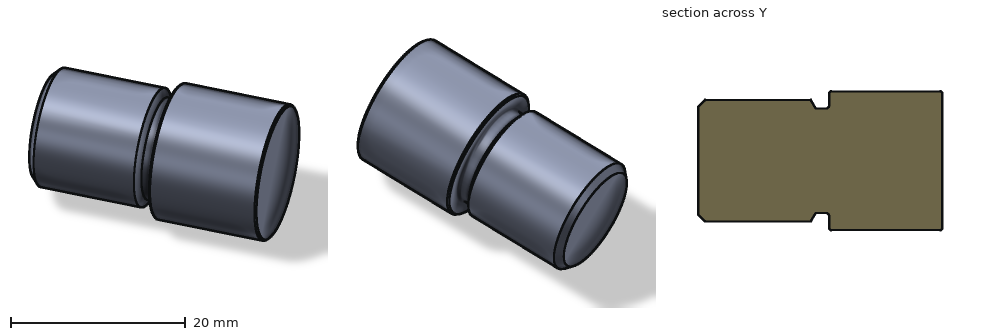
import cadquery as cq
import math

total_length = 28
head_radius = 16.0 / 2
shank_radius = 14 / 2
groove_radius = 12.0 / 2

shoulder_x = 15.0
groove_width = 1.5
groove_wall_angle = 30
root_fillet = 0.4
tip_chamfer = 0.8
head_chamfer = 0.2

groove_floor_x = shoulder_x - groove_width
groove_wall_run = (shank_radius - groove_radius) * math.tan(math.radians(groove_wall_angle))

fillet_offset = root_fillet * (1 - math.sin(math.radians(45)))
fillet_middle = (shoulder_x - fillet_offset, groove_radius + fillet_offset)
fillet_end = (shoulder_x, groove_radius + root_fillet)

profile = (
    cq.Workplane("XY")
    .moveTo(0, 0)
    .lineTo(0, shank_radius - tip_chamfer)
    .lineTo(tip_chamfer, shank_radius)
    .lineTo(groove_floor_x - groove_wall_run, shank_radius)
    .lineTo(groove_floor_x, groove_radius)
    .lineTo(shoulder_x - root_fillet, groove_radius)
    .threePointArc(fillet_middle, fillet_end)
    .lineTo(shoulder_x, head_radius - head_chamfer)
    .lineTo(shoulder_x + head_chamfer, head_radius)
    .lineTo(total_length - head_chamfer, head_radius)
    .lineTo(total_length, head_radius - head_chamfer)
    .lineTo(total_length, 0)
    .close()
)

result = profile.revolve(360, (0, 0, 0), (1, 0, 0))